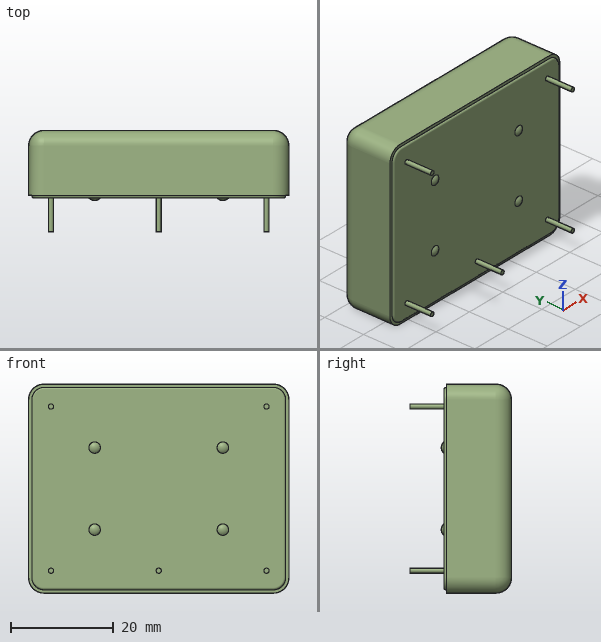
import cadquery as cq

case_width = 50.8
case_height = 40.8
case_depth = 12.7
case_radius = 3.05

plate_inset = 0.65
plate_thickness = 0.5
plate_edge_radius = 0.4

pin_diameter = 1.0
pin_length = 6.6
pin_spacing_x = 42.0
pin_spacing_z = 32.0

dome_diameter = 2.25
dome_height = 0.5
dome_spacing_x = 25.0
dome_spacing_z = 16.0

total_depth = case_depth + plate_thickness + pin_length
back_y = total_depth / 2
case_front_y = back_y - case_depth
plate_front_y = case_front_y - plate_thickness


def corner_points(spacing_x, spacing_z):
    """Four (x, z) positions at the corners of a centred rectangle."""
    return [(sx * spacing_x / 2, sz * spacing_z / 2) for sx in (-1, 1) for sz in (-1, 1)]


def rounded_block(width, height, radius, start_y, depth):
    """Rectangle with rounded corners, extruded from start_y towards -Y."""
    block = cq.Workplane("XZ", origin=(0, start_y, 0)).rect(width, height).extrude(depth)
    return block.edges("|Y").fillet(radius)


def make_case():
    block = rounded_block(case_width, case_height, case_radius, back_y, case_depth)
    return block.faces(">Y").edges().fillet(case_radius)


def make_plate():
    plate = rounded_block(
        case_width - 2 * plate_inset,
        case_height - 2 * plate_inset,
        case_radius - plate_inset,
        case_front_y,
        plate_thickness,
    )
    return plate.faces("<Y").edges().fillet(plate_edge_radius)


def make_pins():
    points = corner_points(pin_spacing_x, pin_spacing_z)
    points.append((0, -pin_spacing_z / 2))
    start = cq.Workplane("XZ", origin=(0, case_front_y, 0))
    return start.pushPoints(points).circle(pin_diameter / 2).extrude(plate_thickness + pin_length)


def make_dome(x, z):
    """Spherical cap of the given base diameter and height on the plate."""
    sphere_radius = ((dome_diameter / 2) ** 2 + dome_height**2) / (2 * dome_height)
    centre_y = plate_front_y - dome_height + sphere_radius
    return cq.Workplane("YZ", origin=(x, centre_y, z)).sphere(sphere_radius)


result = make_case().union(make_plate()).union(make_pins())
for dome_x, dome_z in corner_points(dome_spacing_x, dome_spacing_z):
    result = result.union(make_dome(dome_x, dome_z))